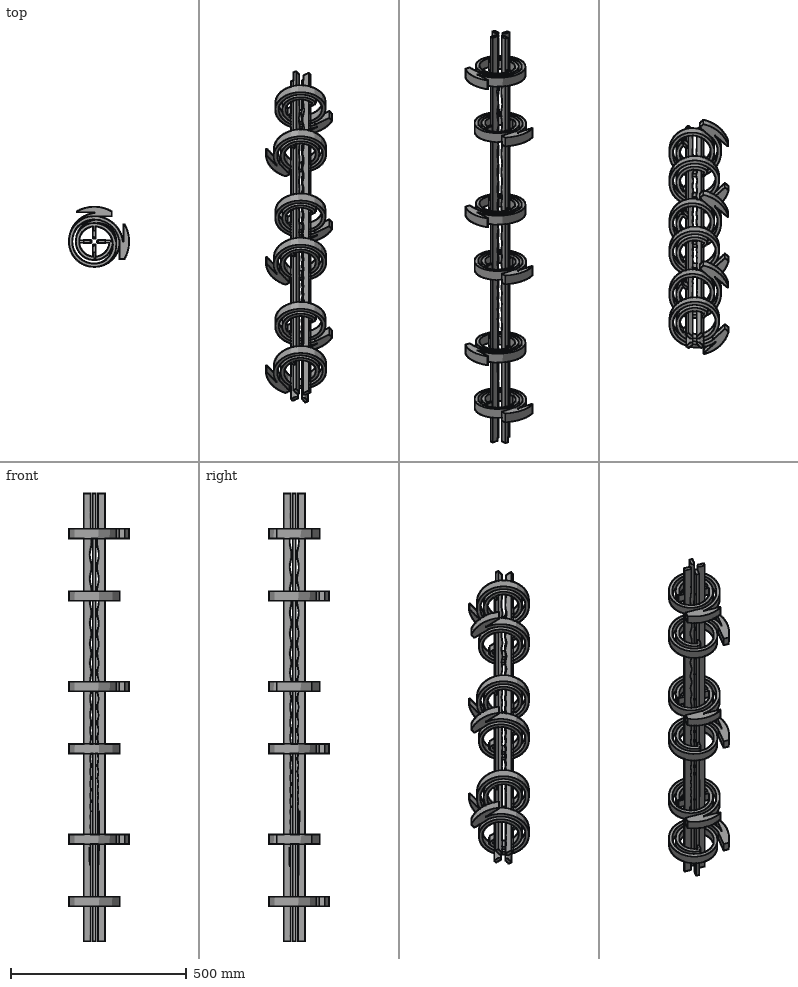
import cadquery as cq
import math


VANE_LENGTH = 1278.0
VANE_THICKNESS = 9.6
VANE_OUTER_RADIUS = 31.0
TIP_RADIUS = 10.0

RIPPLE_END_Z = 1175.0
RIPPLE_HEIGHT = 2.8
LONGEST_PERIOD = 74.0
PERIOD_RATIO = 0.945
RIPPLE_START_Z = 153.0

SUPPORT_HEIGHT = 28.0
BAND_WIDTH = 10.0
INNER_TURN_RADIUS = 47.9
TURN_STEP = 9.8
FULL_HALF_TURNS = 3
SPOKE_THICKNESS = 8.0
BOTTOM_MARGIN = 114.0
TOP_MARGIN = 115.0
SUPPORT_PITCH = 436.0
SUPPORT_PAIRS = 3

FOOT_RADIUS = 100.0
FOOT_WIDTH = 100.0
FOOT_THIN_FACE = 83.0
FOOT_THICK_FACE = 72.0


def tip_path(direction):
    """Rippled path of a vane tip along Z, through the ripple's peaks and valleys."""
    peaks = []
    half_period = LONGEST_PERIOD / 2
    z = RIPPLE_END_Z - half_period
    while z > RIPPLE_START_Z:
        direction = -direction
        height = RIPPLE_HEIGHT * (z - RIPPLE_START_Z) / (RIPPLE_END_Z - RIPPLE_START_Z)
        peaks.append(cq.Vector(direction * height, 0, z))
        half_period *= math.sqrt(PERIOD_RATIO)
        z -= half_period
    peaks.reverse()
    lower_straight = [cq.Vector(0, 0, 0), cq.Vector(0, 0, RIPPLE_START_Z)]
    upper_straight = [cq.Vector(0, 0, RIPPLE_END_Z), cq.Vector(0, 0, VANE_LENGTH)]
    points = lower_straight + peaks + upper_straight
    upward = [cq.Vector(0, 0, 1)] * len(points)
    return cq.Workplane(cq.Edge.makeSpline(points, tangents=upward))


def make_vane(angle, direction):
    """Vane lying along the direction `angle`; `direction` sets the sign of its ripple."""
    half = VANE_THICKNESS / 2
    back = VANE_OUTER_RADIUS + 2 * RIPPLE_HEIGHT
    rippled_bar = (
        cq.Workplane("XY")
        .moveTo(back, half)
        .lineTo(TIP_RADIUS + half, half)
        .threePointArc((TIP_RADIUS, 0), (TIP_RADIUS + half, -half))
        .lineTo(back, -half)
        .close()
        .sweep(tip_path(direction), normal=(0, 0, 1))
    )
    envelope = cq.Workplane("XY").box(
        VANE_OUTER_RADIUS, 2 * VANE_THICKNESS, VANE_LENGTH, centered=(False, True, False)
    )
    return rippled_bar.intersect(envelope).rotate((0, 0, 0), (0, 0, 1), angle)


def make_half_turn(index):
    """Half turn number `index` of the spiral; even ones bulge toward -X, odd ones toward +X."""
    radius = INNER_TURN_RADIUS + index * TURN_STEP
    inner = radius - BAND_WIDTH / 2
    outer = radius + BAND_WIDTH / 2
    side = 1 if index % 2 else -1
    center_y = -TURN_STEP if index % 2 else 0
    return (
        cq.Workplane("XY")
        .moveTo(0, center_y + outer)
        .threePointArc((side * outer, center_y), (0, center_y - outer))
        .lineTo(0, center_y - inner)
        .threePointArc((side * inner, center_y), (0, center_y + inner))
        .close()
        .extrude(SUPPORT_HEIGHT)
    )


def block(x_min, x_max, y_min, y_max):
    """Rectangular block of the support's height."""
    return (
        cq.Workplane("XY")
        .box(x_max - x_min, y_max - y_min, SUPPORT_HEIGHT, centered=False)
        .translate((x_min, y_min, 0))
    )


def make_foot():
    """Foot on the +X side: a thin and a thick half, rounded on the outside about the axis."""
    thin_half = block(FOOT_THIN_FACE, FOOT_RADIUS, 0, FOOT_WIDTH / 2)
    thick_half = block(FOOT_THICK_FACE, FOOT_RADIUS, -FOOT_WIDTH / 2, 0)
    rounding = cq.Workplane("XY").circle(FOOT_RADIUS).extrude(SUPPORT_HEIGHT)
    return thin_half.union(thick_half).intersect(rounding)


def make_support(angle, z):
    """Spiral support turned by `angle`, with the middle of its height at z."""
    last_quarter = make_half_turn(FULL_HALF_TURNS).intersect(block(0, FOOT_RADIUS, 0, FOOT_RADIUS))
    support = make_foot().union(last_quarter)
    for index in range(FULL_HALF_TURNS):
        support = support.union(make_half_turn(index))
    half = SPOKE_THICKNESS / 2
    support = support.union(block(-half, half, VANE_OUTER_RADIUS, INNER_TURN_RADIUS))
    support = support.union(block(-half, half, -INNER_TURN_RADIUS, -VANE_OUTER_RADIUS))
    return support.rotate((0, 0, 0), (0, 0, 1), angle).translate((0, 0, z - SUPPORT_HEIGHT / 2))


vanes = []
for quarter in range(4):
    ripple_sign = -1 if quarter % 2 else 1
    vanes.append(make_vane(90 * quarter, ripple_sign).val())

supports = []
for pair in range(SUPPORT_PAIRS):
    offset = pair * SUPPORT_PITCH
    supports.append(make_support(90, BOTTOM_MARGIN + offset).val())
    supports.append(make_support(0, VANE_LENGTH - TOP_MARGIN - offset).val())

result = cq.Compound.makeCompound(vanes + supports)